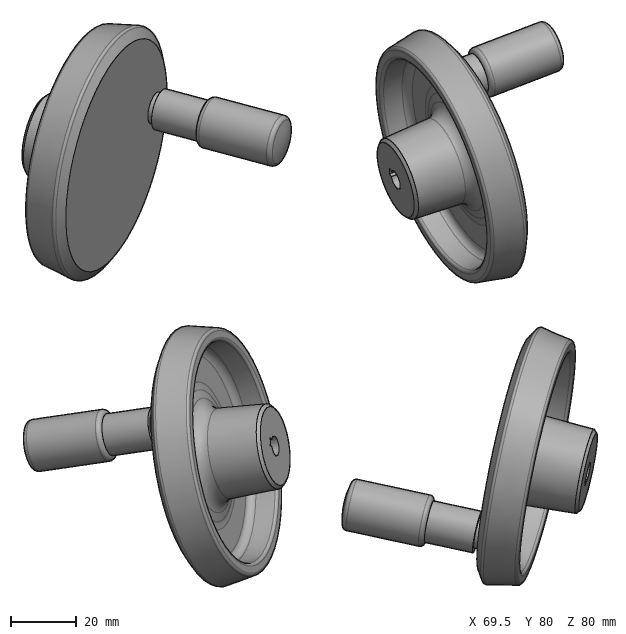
import cadquery as cq
import math


rim_front_x = 13.0
floor_x = 22.2
wheel_back_x = 26.0
rim_crest_x = 23.7

hub_end_radius = 13.0
rim_front_radius = 38.0
wheel_diameter = 80.0
crest_rounding_loss = 0.11
rim_crest_radius = wheel_diameter / 2 + crest_rounding_loss
rim_back_radius = 36.5
rim_inner_radius = 34.2
web_cone_radius = 21.4

hub_draft = math.radians(3)
rim_wall_draft = math.radians(5)
web_cone_slope = math.radians(15)
edge_rounding = 1.0
hub_chamfer = 1.0
hub_root_rounding = 5.0
web_blend_rounding = 9.3
rim_root_rounding = 2.5

bore_diameter = 6.0
bore_depth = floor_x
keyway_width = 2.3
keyway_top = 4.1

handle_offset = 27.6
neck_diameter = 10.0
shank_diameter = 13.0
grip_diameter = 16.0
shank_start_x = 27.9
grip_start_x = 43.0
grip_end_x = 69.5
grip_dome_height = 1.4
grip_rounding = 1.5


def unit_direction(start, end):
    length = math.dist(start, end)
    return (end[0] - start[0]) / length, (end[1] - start[1]) / length


def rounded_outline(corners):
    """Closed outline through (x, radius, rounding) corners with tangent arcs."""
    outline = cq.Workplane("XY").moveTo(*corners[0][:2])
    for index in range(1, len(corners)):
        x, y, rounding = corners[index]
        corner = (x, y)
        if rounding == 0:
            outline = outline.lineTo(*corner)
            continue
        before = unit_direction(corner, corners[index - 1][:2])
        after = unit_direction(corner, corners[index + 1][:2])
        half_angle = math.acos(before[0] * after[0] + before[1] * after[1]) / 2
        tangent_length = rounding / math.tan(half_angle)
        arc_gap = rounding / math.sin(half_angle) - rounding
        bisector = unit_direction((0, 0), (before[0] + after[0], before[1] + after[1]))
        arc_start = (x + tangent_length * before[0], y + tangent_length * before[1])
        arc_middle = (x + arc_gap * bisector[0], y + arc_gap * bisector[1])
        arc_end = (x + tangent_length * after[0], y + tangent_length * after[1])
        outline = outline.lineTo(*arc_start).threePointArc(arc_middle, arc_end)
    return outline.close()


def make_wheel():
    cone_slope = math.tan(web_cone_slope)
    cone_drop = (web_cone_radius - hub_end_radius) * cone_slope
    hub_root_x = (floor_x - cone_drop) / (1 - math.tan(hub_draft) * cone_slope)
    hub_root_radius = hub_end_radius + hub_root_x * math.tan(hub_draft)
    rim_root_radius = rim_inner_radius - (floor_x - rim_front_x) * math.tan(rim_wall_draft)
    corners = [
        (0, 0, 0),
        (0, hub_end_radius - hub_chamfer, 0),
        (hub_chamfer, hub_end_radius + hub_chamfer * math.tan(hub_draft), 0),
        (hub_root_x, hub_root_radius, hub_root_rounding),
        (floor_x, web_cone_radius, web_blend_rounding),
        (floor_x, rim_root_radius, rim_root_rounding),
        (rim_front_x, rim_inner_radius, edge_rounding),
        (rim_front_x, rim_front_radius, edge_rounding),
        (rim_crest_x, rim_crest_radius, edge_rounding),
        (wheel_back_x, rim_back_radius, 0),
        (wheel_back_x, 0, 0),
    ]
    return rounded_outline(corners).revolve(360, (0, 0, 0), (1, 0, 0))


def make_keyed_bore():
    bore = cq.Workplane("YZ").circle(bore_diameter / 2).extrude(bore_depth)
    keyway = cq.Workplane("XY").box(
        bore_depth, keyway_top, keyway_width, centered=(False, False, True)
    )
    return bore.union(keyway)


def make_handle():
    neck_and_shank = (
        cq.Workplane("XY")
        .moveTo(floor_x, 0)
        .lineTo(floor_x, neck_diameter / 2)
        .lineTo(shank_start_x, neck_diameter / 2)
        .lineTo(shank_start_x, shank_diameter / 2)
        .lineTo(grip_start_x, shank_diameter / 2)
        .lineTo(grip_start_x, 0)
        .close()
        .revolve(360, (0, 0, 0), (1, 0, 0))
    )
    grip_radius = grip_diameter / 2
    dome_edge_x = grip_end_x - grip_dome_height
    dome_radius = (grip_radius**2 + grip_dome_height**2) / (2 * grip_dome_height)
    dome_middle_height = grip_radius / 2
    dome_middle_x = grip_end_x - dome_radius + math.sqrt(dome_radius**2 - dome_middle_height**2)
    grip = (
        cq.Workplane("XY")
        .moveTo(grip_start_x, 0)
        .lineTo(grip_start_x, grip_radius)
        .lineTo(dome_edge_x, grip_radius)
        .threePointArc((dome_middle_x, dome_middle_height), (grip_end_x, 0))
        .close()
        .revolve(360, (0, 0, 0), (1, 0, 0))
        .edges("%CIRCLE")
        .fillet(grip_rounding)
    )
    return neck_and_shank.union(grip).translate((0, handle_offset, 0))


result = make_wheel().cut(make_keyed_bore()).union(make_handle())